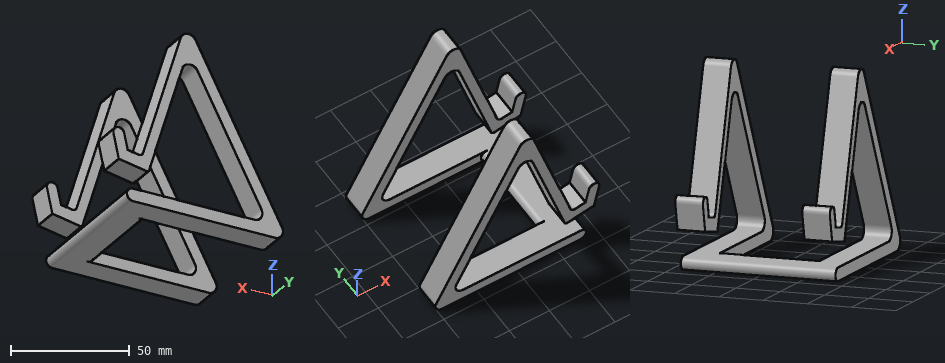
import cadquery as cq
import math

height = 86.3
overall_depth = 70.0

frame_thickness = 12.6
base_thickness = 6.0
base_length = 75.4
bar_length = 16.05

corner_radius = 4.0
apex_x = 45.65
back_leg_thickness = 6.0
front_leg_thickness = 5.0
front_leg_angle = -73.0

hook_corner_x = 79.3
hook_corner_z = 18.4
hook_floor_angle = 10.5
hook_floor_thickness = 6.0
lip_angle = 77.5
lip_thickness = 5.35
lip_top_z = 33.4
hook_inner_radius = 2.0
hook_outer_radius = 1.0


def offset_line(point, angle, distance):
    """A line (point, angle) shifted to the left of its direction by distance."""
    radians = math.radians(angle)
    x = point[0] - distance * math.sin(radians)
    z = point[1] + distance * math.cos(radians)
    return (x, z), angle


def intersect(first, second):
    """The point where two lines, each given as (point, angle), cross."""
    (x1, z1), angle1 = first
    (x2, z2), angle2 = second
    a1 = math.radians(angle1)
    a2 = math.radians(angle2)
    along = ((x2 - x1) * math.sin(a2) - (z2 - z1) * math.cos(a2)) / math.sin(a2 - a1)
    return x1 + along * math.cos(a1), z1 + along * math.sin(a1)


def extrude_along_y(outline, start_y, length):
    """Extrude a closed list of XZ points toward +Y."""
    plane = cq.Workplane("XZ", origin=(0, start_y, 0))
    return plane.polyline(outline).close().extrude(-length)


def fillet_at(body, point, radius):
    """Round the edge along Y that passes through an XZ point."""
    margin = 0.04
    x, z = point
    corner = cq.selectors.BoxSelector(
        (x - margin, -margin, z - margin),
        (x + margin, frame_thickness + margin, z + margin),
    )
    return body.edges(corner).fillet(radius)


base_radius = base_thickness / 2
heel_center = (corner_radius, corner_radius)
apex_center = (apex_x, height - corner_radius)
back_leg_angle = math.degrees(
    math.atan2(apex_center[1] - heel_center[1], apex_center[0] - heel_center[0])
)
base_bottom = ((0, 0), 0)
base_top = ((0, base_thickness), 0)
back_outer = offset_line(heel_center, back_leg_angle, corner_radius)
back_inner = offset_line(heel_center, back_leg_angle, corner_radius - back_leg_thickness)
front_outer = offset_line(apex_center, front_leg_angle, corner_radius)
front_inner = offset_line(apex_center, front_leg_angle, corner_radius - front_leg_thickness)

hook_corner = (hook_corner_x, hook_corner_z)
floor_bottom = (hook_corner, hook_floor_angle)
floor_top = offset_line(hook_corner, hook_floor_angle, hook_floor_thickness)
lip_outer = (hook_corner, lip_angle)
lip_inner = offset_line(hook_corner, lip_angle, lip_thickness)

lip_radius = lip_thickness / 2
lip_middle = offset_line(hook_corner, lip_angle, lip_radius)
lip_center = intersect(lip_middle, ((0, lip_top_z - lip_radius), 0))
lip_end = (lip_center, lip_angle - 90)


def make_frame():
    """One side frame, from y = 0 to y = frame_thickness."""
    base_end_x = base_length - base_radius
    heel = intersect(back_outer, base_bottom)
    apex = intersect(back_outer, front_outer)
    hook_inside = intersect(front_outer, floor_top)
    hook_outside = intersect(front_inner, floor_bottom)
    inner_apex = intersect(front_inner, back_inner)
    inner_heel = intersect(back_inner, base_top)
    outline = [
        heel,
        apex,
        hook_inside,
        intersect(floor_top, lip_inner),
        intersect(lip_inner, lip_end),
        intersect(lip_outer, lip_end),
        hook_corner,
        hook_outside,
        inner_apex,
        inner_heel,
        (base_end_x, base_thickness),
        (base_end_x, 0),
    ]
    frame = extrude_along_y(outline, 0, frame_thickness)
    for corner in (heel, apex, inner_apex, inner_heel):
        frame = fillet_at(frame, corner, corner_radius)
    frame = fillet_at(frame, hook_inside, hook_inner_radius)
    frame = fillet_at(frame, hook_outside, hook_outer_radius)

    for center, radius in (((base_end_x, base_radius), base_radius), (lip_center, lip_radius)):
        end_round = cq.Workplane("XZ").center(*center).circle(radius).extrude(-frame_thickness)
        frame = frame.union(end_round)
    return frame


def make_bar():
    """The rounded bar that joins the two bases."""
    bar = cq.Workplane("XZ").center(base_length - bar_length / 2, base_radius)
    return bar.slot2D(bar_length, base_thickness).extrude(-overall_depth)


frame = make_frame()
far_frame = frame.translate((0, overall_depth - frame_thickness, 0))
result = frame.union(far_frame).union(make_bar()).clean()